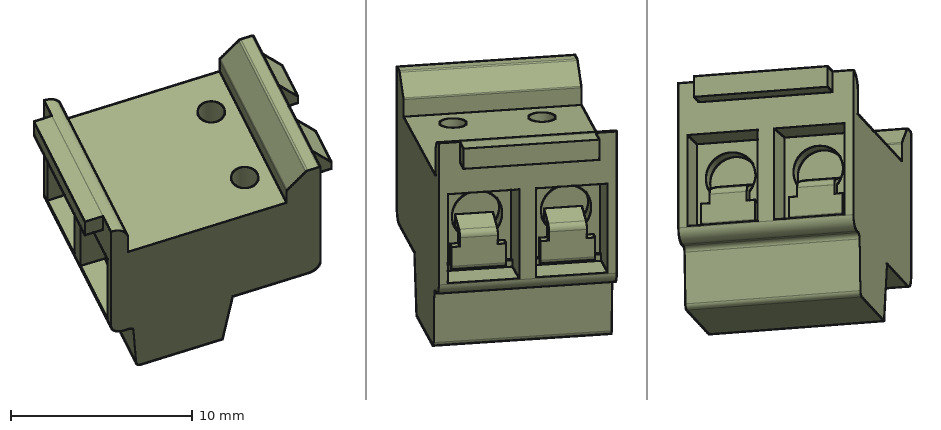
import cadquery as cq
import math


BODY_WIDTH = 10.0
BODY_DEPTH = 12.45
BODY_BOTTOM = 3.48
DECK_HEIGHT = 10.3
TOTAL_HEIGHT = 12.55
FRONT_WALL = 1.01
REAR_WALL = 2.03
REAR_CHAMFER = 1.19
REAR_EDGE_RADIUS = 0.12
CHAMFER_EDGE_RADIUS = 0.18
BODY_RADIUS = 0.74

FOOT_FRONT_TOP = 1.32
FOOT_FRONT_BOTTOM = 1.51
FOOT_REAR_BOTTOM = 6.63
FOOT_REAR_TOP = 7.23
FOOT_RADIUS = 0.3

BAR_WIDTH = 7.63
BAR_DEPTH = 1.07
BAR_HEIGHT = 1.19
HOOK_WIDTH = 2.38
HOOK_DEPTH = 1.18
HOOK_LIP = 0.56

POLE_PITCH = BODY_WIDTH / 2
POLE_CENTERS = (-POLE_PITCH / 2, POLE_PITCH / 2)
SCREW_HOLE_DIAMETER = 1.5
SCREW_HOLE_Y = 8.94

WINDOW_INNER_SIDE = 0.47
WINDOW_OUTER_SIDE = 4.48
WINDOW_BOTTOM = 4.29
WINDOW_TOP = 9.53
WINDOW_DEPTH = 1.85
WINDOW_BACK_WIDTH = 3.84
FLOOR_RISE = 0.12
SILL_FRONT = 1.62
SILL_TOP = 4.78

WIRE_HOLE_DIAMETER = 2.82
WIRE_HOLE_Z = 7.5

CLIP_FRONT = 1.3
CLIP_BOTTOM = 4.5
CLIP_BOTTOM_RADIUS = 0.28
CLIP_WIDTH = 3.06
SHOULDER_HEIGHT = 5.91
TONGUE_WIDTH = 2.13
TONGUE_BEND_START = 6.42
TONGUE_BEND_RADIUS = 0.43
TONGUE_SLOPE = math.radians(20)
TONGUE_TOP = 7.26

BEND_ANGLE = math.pi / 2 - TONGUE_SLOPE
BEND_END_Y = CLIP_FRONT + TONGUE_BEND_RADIUS * (1 - math.cos(BEND_ANGLE))
BEND_END_Z = TONGUE_BEND_START + TONGUE_BEND_RADIUS * math.sin(BEND_ANGLE)
TONGUE_END = BEND_END_Y + (TONGUE_TOP - BEND_END_Z) / math.tan(TONGUE_SLOPE)


def side_prism(outline, x_center, width):
    """Extrude a closed YZ outline to the given width, centred on x_center."""
    return outline.extrude(width / 2, both=True).translate((x_center, 0, 0))


def round_edge(solid, y, z, radius):
    """Round the edge along X that passes through (y, z)."""
    return solid.edges(cq.selectors.NearestToPointSelector((0, y, z))).fillet(radius)


def make_body():
    rear_wall_front = BODY_DEPTH - REAR_WALL
    chamfer_start = rear_wall_front + REAR_CHAMFER
    chamfer_end = TOTAL_HEIGHT - REAR_CHAMFER
    outline = (
        cq.Workplane("YZ")
        .moveTo(0, BODY_BOTTOM)
        .lineTo(0, TOTAL_HEIGHT)
        .radiusArc((FRONT_WALL, TOTAL_HEIGHT - FRONT_WALL), FRONT_WALL)
        .lineTo(FRONT_WALL, DECK_HEIGHT)
        .lineTo(rear_wall_front, DECK_HEIGHT)
        .lineTo(rear_wall_front, chamfer_end)
        .lineTo(chamfer_start, TOTAL_HEIGHT)
        .lineTo(BODY_DEPTH, TOTAL_HEIGHT)
        .lineTo(BODY_DEPTH, BODY_BOTTOM)
        .lineTo(FOOT_REAR_TOP, BODY_BOTTOM)
        .lineTo(FOOT_REAR_BOTTOM, 0)
        .lineTo(FOOT_FRONT_BOTTOM, 0)
        .lineTo(FOOT_FRONT_TOP, BODY_BOTTOM)
        .close()
    )
    body = side_prism(outline, 0, BODY_WIDTH)
    rounded_edges = (
        (0, BODY_BOTTOM, BODY_RADIUS),
        (BODY_DEPTH, BODY_BOTTOM, BODY_RADIUS),
        (FOOT_FRONT_TOP, BODY_BOTTOM, FOOT_RADIUS),
        (FOOT_FRONT_BOTTOM, 0, FOOT_RADIUS),
        (BODY_DEPTH, TOTAL_HEIGHT, REAR_EDGE_RADIUS),
        (chamfer_start, TOTAL_HEIGHT, CHAMFER_EDGE_RADIUS),
        (rear_wall_front, chamfer_end, REAR_EDGE_RADIUS),
    )
    for y, z, radius in rounded_edges:
        body = round_edge(body, y, z, radius)
    return body


def make_bar():
    outline = (
        cq.Workplane("YZ")
        .moveTo(-BAR_DEPTH, TOTAL_HEIGHT - BAR_HEIGHT)
        .lineTo(0, TOTAL_HEIGHT - BAR_HEIGHT)
        .lineTo(0, TOTAL_HEIGHT)
        .lineTo(-BAR_DEPTH, TOTAL_HEIGHT)
        .close()
    )
    return side_prism(outline, 0, BAR_WIDTH)


def make_hook(x_center):
    tip = BODY_DEPTH + HOOK_DEPTH
    outline = (
        cq.Workplane("YZ")
        .moveTo(BODY_DEPTH, DECK_HEIGHT)
        .lineTo(tip, DECK_HEIGHT)
        .lineTo(tip, DECK_HEIGHT + HOOK_LIP)
        .lineTo(BODY_DEPTH, TOTAL_HEIGHT - REAR_EDGE_RADIUS)
        .close()
    )
    return side_prism(outline, x_center, HOOK_WIDTH)


def make_screw_hole(x_center):
    return (
        cq.Workplane("XY")
        .center(x_center, SCREW_HOLE_Y)
        .circle(SCREW_HOLE_DIAMETER / 2)
        .extrude(TOTAL_HEIGHT)
    )


def make_window(x_center):
    """Window that narrows and whose floor rises towards the back wall."""
    side = math.copysign(1, x_center)

    def section(y, x_start, x_end, bottom):
        corners = [(x_start, bottom), (x_end, bottom), (x_end, WINDOW_TOP), (x_start, WINDOW_TOP)]
        return cq.Wire.makePolygon([cq.Vector(x, y, z) for x, z in corners], close=True)

    half_back = side * WINDOW_BACK_WIDTH / 2
    mouth = section(0, side * WINDOW_INNER_SIDE, side * WINDOW_OUTER_SIDE, WINDOW_BOTTOM)
    back = section(WINDOW_DEPTH, x_center - half_back, x_center + half_back, WINDOW_BOTTOM + FLOOR_RISE)
    return cq.Workplane(cq.Solid.makeLoft([mouth, back], True))


def make_sill(x_center):
    outline = (
        cq.Workplane("YZ")
        .moveTo(SILL_FRONT, WINDOW_BOTTOM)
        .lineTo(WINDOW_DEPTH, WINDOW_BOTTOM)
        .lineTo(WINDOW_DEPTH, SILL_TOP)
        .lineTo(SILL_FRONT, SILL_TOP)
        .close()
    )
    return side_prism(outline, x_center, WINDOW_OUTER_SIDE - WINDOW_INNER_SIDE)


def make_wire_hole(x_center):
    return (
        cq.Workplane("XZ")
        .center(x_center, WIRE_HOLE_Z)
        .circle(WIRE_HOLE_DIAMETER / 2)
        .extrude(-TONGUE_END)
    )


def make_clip(x_center):
    plate_outline = (
        cq.Workplane("YZ")
        .moveTo(CLIP_FRONT, SHOULDER_HEIGHT)
        .lineTo(CLIP_FRONT, CLIP_BOTTOM + CLIP_BOTTOM_RADIUS)
        .radiusArc((CLIP_FRONT + CLIP_BOTTOM_RADIUS, CLIP_BOTTOM), -CLIP_BOTTOM_RADIUS)
        .lineTo(WINDOW_DEPTH, CLIP_BOTTOM)
        .lineTo(WINDOW_DEPTH, SHOULDER_HEIGHT)
        .close()
    )
    tongue_outline = (
        cq.Workplane("YZ")
        .moveTo(CLIP_FRONT, SHOULDER_HEIGHT)
        .lineTo(CLIP_FRONT, TONGUE_BEND_START)
        .radiusArc((BEND_END_Y, BEND_END_Z), TONGUE_BEND_RADIUS)
        .lineTo(TONGUE_END, TONGUE_TOP)
        .lineTo(TONGUE_END, SHOULDER_HEIGHT)
        .close()
    )
    plate = side_prism(plate_outline, x_center, CLIP_WIDTH)
    tongue = side_prism(tongue_outline, x_center, TONGUE_WIDTH)
    return plate.union(tongue)


result = make_body().union(make_bar())
for pole_x in POLE_CENTERS:
    result = result.union(make_hook(pole_x))
    result = result.cut(make_screw_hole(pole_x))
    result = result.cut(make_window(pole_x))
    result = result.union(make_sill(pole_x))
    result = result.cut(make_wire_hole(pole_x))
    result = result.union(make_clip(pole_x))